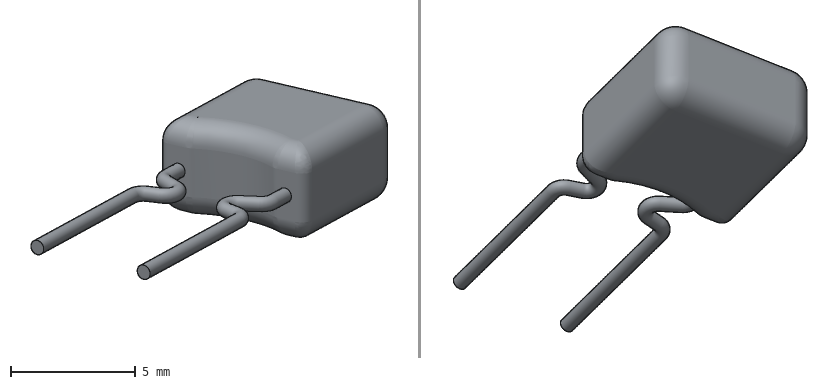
import cadquery as cq
import math

overall_length = 17.16

body_width = 7.1
body_length = 6.75
body_height = 4.08
edge_radius = 1.0
front_corner_radius = 0.5
waist_half_width = 2.06
waist_depth = 0.48
waist_corner_radius = 0.69
selection_margin = 0.17

wire_diameter = 0.62
lead_offset = 2.55
lead_length = overall_length - body_length
kink_start = 0.93
kink_peak = 2.25
kink_end = 3.4
kink_reach = 1.35
bend_radius = 0.51


def make_body():
    """The block, rounded all round; the upright edges come last, so they run out at the top and bottom."""
    half_width = body_width / 2
    body = (
        cq.Workplane("XY")
        .workplane(offset=-body_height / 2)
        .moveTo(-half_width, 0)
        .lineTo(-waist_half_width, 0)
        .threePointArc((0, waist_depth), (waist_half_width, 0))
        .lineTo(half_width, 0)
        .lineTo(half_width, body_length)
        .lineTo(-half_width, body_length)
        .close()
        .extrude(body_height)
    )
    body = body.edges("|Z and >Y").fillet(edge_radius)
    body = body.faces("<Z or >Z").edges().fillet(edge_radius)
    front_corners = body.edges("|Z").edges("<Y").edges("<X or >X")
    body = front_corners.fillet(front_corner_radius)
    waist_ends = cq.selectors.BoxSelector(
        (-waist_half_width - selection_margin, -selection_margin, -body_height),
        (waist_half_width + selection_margin, selection_margin, body_height),
    )
    return body.edges("|Z").edges(waist_ends).fillet(waist_corner_radius)


def kink_turn(height):
    """Turn of both bends in half a kink that spans this height along the lead.

    The bends are equal and opposite, joined by the crossing tangent of their circles.
    """
    across = kink_reach - 2 * bend_radius
    spacing = math.hypot(across, height)
    return math.pi - math.atan2(height, across) - math.acos(2 * bend_radius / spacing)


def make_lead(side):
    """One lead; side is -1 for the lead on -X and +1 for the one on +X."""

    def foot_bend(along, direction, turn):
        """Point on the bend that leaves the straight wire at this distance."""
        across = bend_radius * (1 - math.cos(turn))
        return side * (lead_offset - across), -along - direction * bend_radius * math.sin(turn)

    def peak_bend(direction, turn):
        """Point on the bend at the peak of the kink, turned away from the peak."""
        across = kink_reach - bend_radius * (1 - math.cos(turn))
        return side * (lead_offset - across), -kink_peak - direction * bend_radius * math.sin(turn)

    wire_x = side * lead_offset
    in_turn = kink_turn(kink_peak - kink_start)
    out_turn = kink_turn(kink_end - kink_peak)
    axis = (
        cq.Workplane("XY")
        .moveTo(wire_x, 0)
        .lineTo(wire_x, -kink_start)
        .threePointArc(foot_bend(kink_start, 1, in_turn / 2), foot_bend(kink_start, 1, in_turn))
        .lineTo(*peak_bend(-1, in_turn))
        .threePointArc(peak_bend(1, 0), peak_bend(1, out_turn))
        .lineTo(*foot_bend(kink_end, -1, out_turn))
        .threePointArc(foot_bend(kink_end, -1, out_turn / 2), (wire_x, -kink_end))
        .lineTo(wire_x, -lead_length)
    )
    return cq.Workplane("XZ").center(wire_x, 0).circle(wire_diameter / 2).sweep(axis)


body = make_body()
leads = [make_lead(side) for side in (-1, 1)]

result = cq.Compound.makeCompound([body.val(), *[lead.val() for lead in leads]])